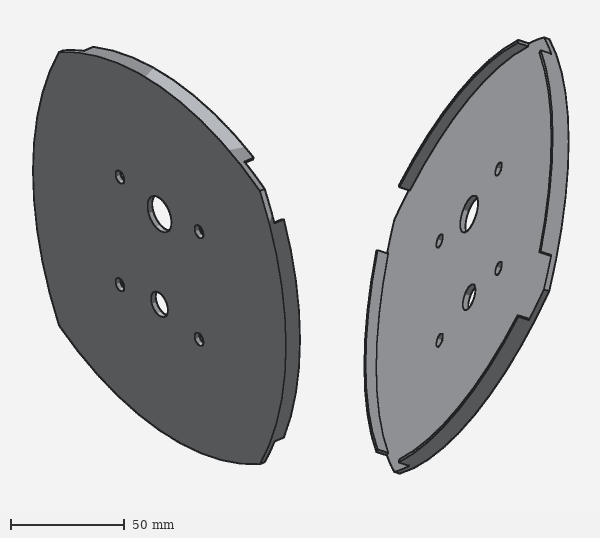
import cadquery as cq
import math

side_span = 180.5
corner_offset = 71.6
total_depth = 8.0
plate_thickness = 2.7

rim_thickness = 1.5
rim_half_length = 57.2

screw_circle_radius = 39.9
screw_hole_diameter = 6.1
upper_hole_diameter = 17.0
upper_hole_height = 23.1
lower_hole_diameter = 12.0
lower_hole_height = -24.2

side_offset = side_span / 2
bulge = side_offset - corner_offset
side_radius = (corner_offset**2 + bulge**2) / (2 * bulge)
arc_center = side_offset - side_radius
rim_half_angle = math.asin(rim_half_length / side_radius)

front_plane = cq.Plane(origin=(0, 0, 0), xDir=(1, 0, 0), normal=(0, -1, 0))


def make_plate():
    """Plate with four arc sides; its front face lies at Y = 0."""
    c = corner_offset
    s = side_offset
    return (
        cq.Workplane(front_plane)
        .moveTo(-c, c)
        .threePointArc((0, s), (c, c))
        .threePointArc((s, 0), (c, -c))
        .threePointArc((0, -s), (-c, -c))
        .threePointArc((-s, 0), (-c, c))
        .close()
        .extrude(-plate_thickness)
    )


def make_top_rim():
    """Curved wall along the top side, with ends cut square to the arc."""
    inner_radius = side_radius - rim_thickness

    def arc_point(radius, angle):
        return (radius * math.sin(angle), arc_center + radius * math.cos(angle))

    return (
        cq.Workplane(front_plane)
        .moveTo(*arc_point(side_radius, -rim_half_angle))
        .threePointArc(arc_point(side_radius, 0), arc_point(side_radius, rim_half_angle))
        .lineTo(*arc_point(inner_radius, rim_half_angle))
        .threePointArc(arc_point(inner_radius, 0), arc_point(inner_radius, -rim_half_angle))
        .close()
        .extrude(-total_depth)
    )


def make_hole(x, z, diameter):
    """Cylinder that cuts through the plate along Y."""
    return cq.Workplane(front_plane).center(x, z).circle(diameter / 2).extrude(-total_depth)


result = make_plate()

top_rim = make_top_rim()
for quarter_turn in range(4):
    result = result.union(top_rim.rotate((0, 0, 0), (0, 1, 0), 90 * quarter_turn))

result = result.cut(make_hole(0, upper_hole_height, upper_hole_diameter))
result = result.cut(make_hole(0, lower_hole_height, lower_hole_diameter))

screw_offset = screw_circle_radius / math.sqrt(2)
for x_sign in (-1, 1):
    for z_sign in (-1, 1):
        screw_hole = make_hole(x_sign * screw_offset, z_sign * screw_offset, screw_hole_diameter)
        result = result.cut(screw_hole)